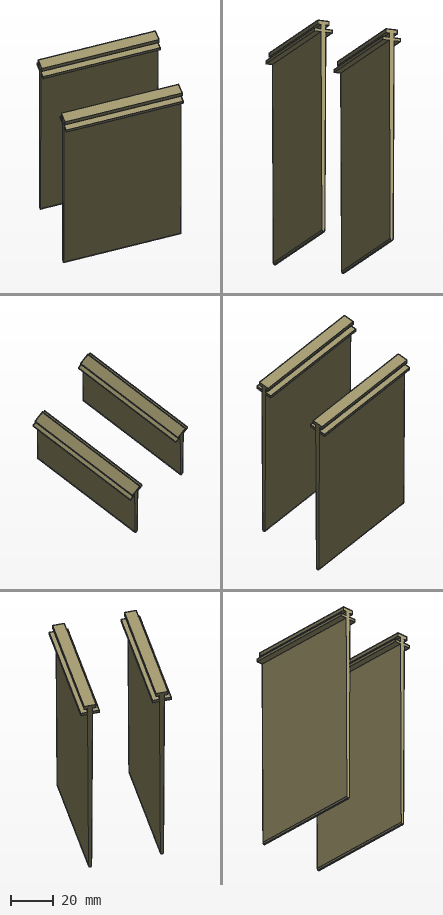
import cadquery as cq

height = 103.8
length = 58.0
overall_width = 44.0

flange_width = 9.0
head_width = 5.7
stem_width = 2.5
tip_width = 1.6
head_thickness = 2.0
flange_top_depth = 4.0
flange_thickness = 1.5
tip_bevel_height = 0.8
tip_bevel_width = 0.4

head_bottom = height - head_thickness
flange_top = height - flange_top_depth
flange_bottom = flange_top - flange_thickness

blade_spacing = overall_width - flange_width


def make_blade(center_x):
    """Extrude a tapered blade with a T-shaped head and a side flange along Y."""
    right_side = [
        (head_width / 2, height),
        (head_width / 2, head_bottom),
        (stem_width / 2, head_bottom),
        (stem_width / 2, flange_top),
        (flange_width / 2, flange_top),
        (flange_width / 2, flange_bottom),
        (stem_width / 2, flange_bottom),
        (tip_width / 2, tip_bevel_height),
        (tip_width / 2 - tip_bevel_width, 0),
    ]
    left_side = [(-x, z) for x, z in reversed(right_side)]
    return (
        cq.Workplane("XZ")
        .polyline(right_side + left_side)
        .close()
        .extrude(length / 2, both=True)
        .translate((center_x, 0, 0))
    )


blades = []
for side in (-1, 1):
    blade = make_blade(side * blade_spacing / 2)
    blades.append(blade.val())

result = cq.Compound.makeCompound(blades)